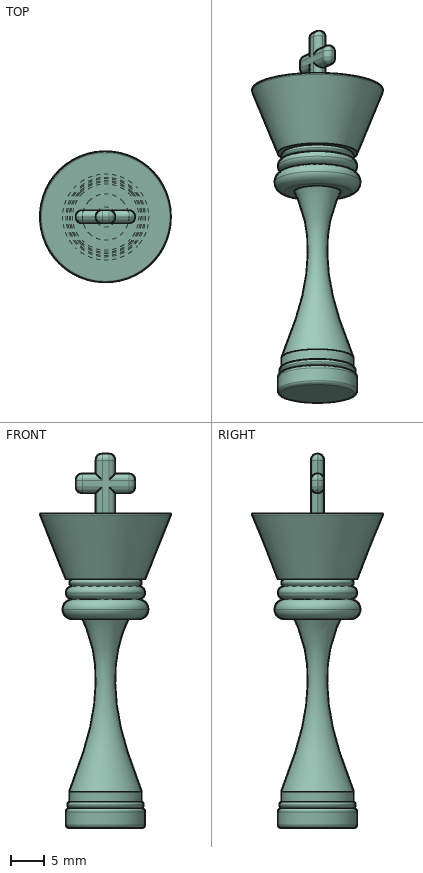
import cadquery as cq
import math


foot_radius = 6.0
foot_height = 3.0
foot_edge_fillet = 0.5
foot_bead_radius = 5.8
foot_bead_height = 1.0
foot_neck_radius = 5.5
foot_neck_height = 1.5

stem_height = 26.0
stem_waist_radius = 1.5
stem_waist_rise = 17.0
stem_bottom_slope = -0.38
stem_top_slope = 0.5
stem_top_radius = 3.5

collar_beads = [(6.5, 3.0), (6.0, 2.0), (5.5, 1.0)]

crown_bottom_radius = 6.0
crown_top_radius = 10.0
crown_height = 10.0
crown_rim_fillet = 0.2

cross_height = 9.0
cross_span = 9.0
cross_bar_width = 3.0
cross_bar_thickness = 2.0
cross_arm_rise = 4.5
cross_edge_clearance = 0.001
cross_edge_fillet = cross_bar_thickness / 2 - cross_edge_clearance

foot_bead_bottom = foot_height
foot_neck_bottom = foot_bead_bottom + foot_bead_height
stem_bottom = foot_neck_bottom + foot_neck_height
stem_waist_level = stem_bottom + stem_waist_rise
collar_bottom = stem_bottom + stem_height
crown_bottom = collar_bottom + sum(height for _, height in collar_beads)
crown_top = crown_bottom + crown_height


def make_disc(radius, height, bottom):
    return cq.Workplane("XY").workplane(offset=bottom).circle(radius).extrude(height)


def make_bead(radius, height, bottom):
    """Disc whose whole rim is one half-round."""
    round_radius = height / 2
    flat_radius = radius - round_radius
    diagonal = round_radius * math.sqrt(0.5)
    middle = bottom + round_radius
    profile = (
        cq.Workplane("XZ")
        .moveTo(0, bottom)
        .lineTo(flat_radius, bottom)
        .threePointArc((flat_radius + diagonal, middle - diagonal), (radius, middle))
        .threePointArc((flat_radius + diagonal, middle + diagonal), (flat_radius, bottom + height))
        .lineTo(0, bottom + height)
        .close()
    )
    return profile.revolve(360, (0, 0, 0), (0, 1, 0))


def make_foot():
    disc = make_disc(foot_radius, foot_height, 0).edges().fillet(foot_edge_fillet)
    bead = make_bead(foot_bead_radius, foot_bead_height, foot_bead_bottom)
    neck = make_disc(foot_neck_radius, foot_neck_height, foot_neck_bottom)
    return disc.union(bead, clean=False).union(neck, clean=False)


def make_stem():
    profile = (
        cq.Workplane("XZ")
        .moveTo(0, stem_bottom)
        .lineTo(foot_neck_radius, stem_bottom)
        .spline(
            [(stem_waist_radius, stem_waist_level), (stem_top_radius, collar_bottom)],
            tangents=[(stem_bottom_slope, 1), (0, 1), (stem_top_slope, 1)],
            includeCurrent=True,
        )
        .lineTo(0, collar_bottom)
        .close()
    )
    return profile.revolve(360, (0, 0, 0), (0, 1, 0))


def make_collar():
    collar = cq.Workplane("XY")
    bottom = collar_bottom
    for radius, height in collar_beads:
        collar = collar.union(make_bead(radius, height, bottom), clean=False)
        bottom += height
    return collar


def make_crown():
    taper = math.degrees(math.atan2(crown_top_radius - crown_bottom_radius, crown_height))
    cone = (
        cq.Workplane("XY")
        .workplane(offset=crown_bottom)
        .circle(crown_bottom_radius)
        .extrude(crown_height, taper=-taper)
    )
    return cone.faces(">Z").edges().fillet(crown_rim_fillet)


def make_king():
    king_body = make_foot()
    for section in (make_stem(), make_collar(), make_crown()):
        king_body = king_body.union(section, clean=False)
    return king_body


def make_rounded_bar(length):
    """Upright bar centred on the origin, rounded on every edge."""
    bar = cq.Workplane("XY").box(cross_bar_width, cross_bar_thickness, length)
    return bar.edges().fillet(cross_edge_fillet)


def make_cross():
    upright = make_rounded_bar(2 * cross_height)
    upright = upright.intersect(
        cq.Workplane("XY").rect(cross_span, cross_span).extrude(cross_height)
    )
    arms = make_rounded_bar(cross_span).rotate((0, 0, 0), (0, 1, 0), 90)
    arms = arms.translate((0, 0, cross_arm_rise))
    return upright.union(arms).translate((0, 0, crown_top))


king = make_king()
cross = make_cross()

result = cq.Compound.makeCompound([king.val(), cross.val()])